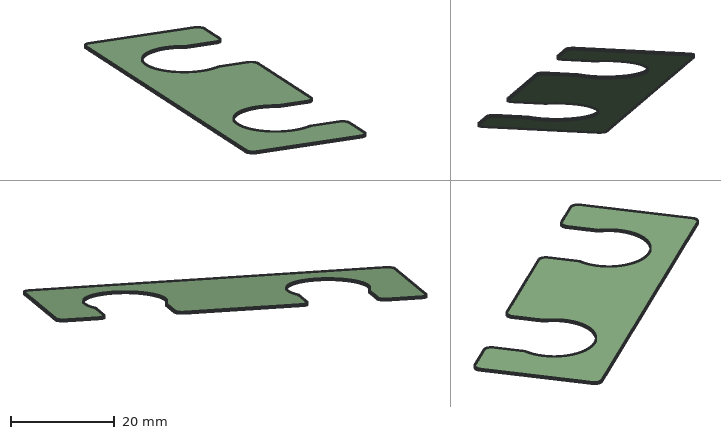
import cadquery as cq

length = 74.2
width = 25.4
thickness = 0.38
corner_radius = 1.5

hole_spacing = 40.65
hole_radius = 8.1
hole_center_y = 1.0
slot_width = 14.1


def keyhole(center_x):
    """Round hole joined to a narrower slot that runs out of the +Y edge."""
    slot_length = width / 2 - hole_center_y
    hole = (
        cq.Workplane("XY")
        .center(center_x, hole_center_y)
        .circle(hole_radius)
        .extrude(thickness)
    )
    slot = (
        cq.Workplane("XY")
        .center(center_x, hole_center_y + slot_length / 2)
        .rect(slot_width, slot_length)
        .extrude(thickness)
    )
    return hole.union(slot)


plate = cq.Workplane("XY").rect(length, width).extrude(thickness)
for center_x in (-hole_spacing / 2, hole_spacing / 2):
    plate = plate.cut(keyhole(center_x))

rounded = plate.faces(">Y or <Y").edges("|Z")
result = rounded.fillet(corner_radius)